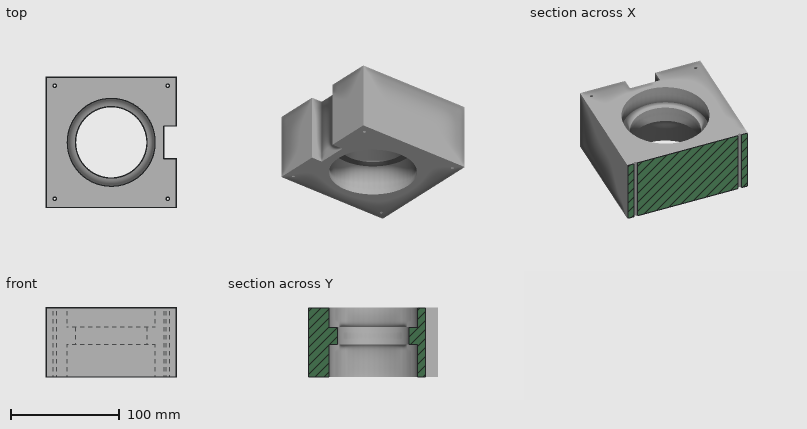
import cadquery as cq

block_side = 120.0
block_height = 64.0

bore_diameter = 81.0
bore_depth = 18.0
throat_diameter = 65.45
throat_length = 16.0
lower_bore_depth = block_height - bore_depth - throat_length

notch_depth = 11.5
notch_width = 30.0

screw_hole_diameter = 3.0
screw_hole_edge_distance = 8.0
screw_hole_spacing = block_side - 2 * screw_hole_edge_distance


def make_block():
    """Square block standing on Z = 0, centred on the Z axis."""
    return cq.Workplane("XY").box(block_side, block_side, block_height, centered=(True, True, False))


def cut_stepped_bore(body):
    """Wide bores from the top and bottom faces, joined by a narrower throat."""
    body = body.faces(">Z").workplane().hole(throat_diameter)
    body = body.faces(">Z").workplane().hole(bore_diameter, bore_depth)
    return body.faces("<Z").workplane().hole(bore_diameter, lower_bore_depth)


def cut_notch(body):
    """Rectangular notch centred on the +X side."""
    notch = cq.Workplane("XY").box(notch_depth, notch_width, block_height, centered=(True, True, False))
    return body.cut(notch.translate((block_side / 2 - notch_depth / 2, 0, 0)))


def drill_screw_holes(body):
    """Through holes near the four corners."""
    return (
        body.faces(">Z")
        .workplane()
        .rect(screw_hole_spacing, screw_hole_spacing, forConstruction=True)
        .vertices()
        .hole(screw_hole_diameter)
    )


result = drill_screw_holes(cut_notch(cut_stepped_bore(make_block())))